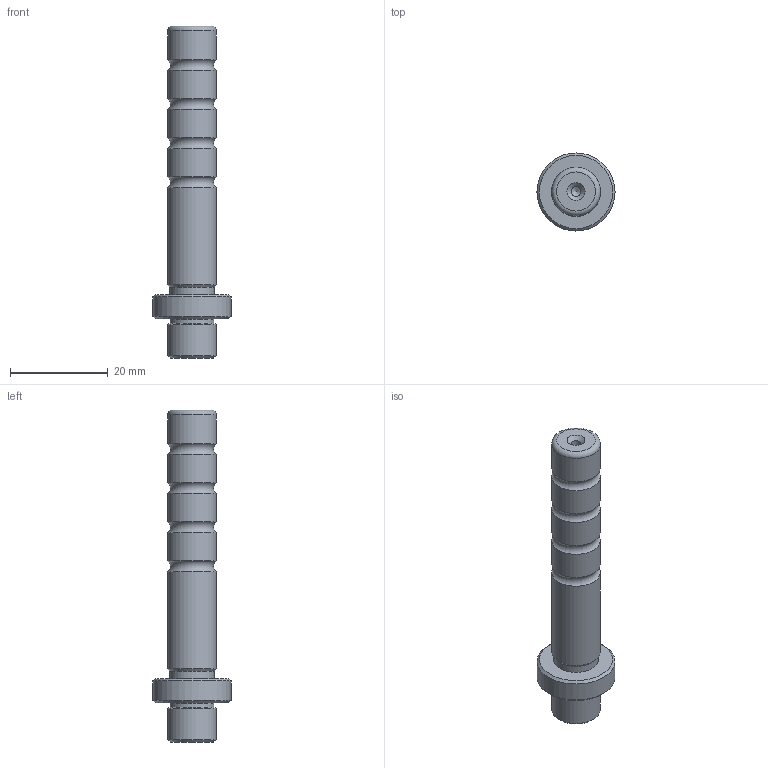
import cadquery as cq
import math

total_length = 68.0
flange_bottom = 8.0
flange_top = 13.0

pin_radius = 5.0
flange_radius = 8.0
upper_neck_radius = 4.6
lower_neck_radius = 4.5

shank_top = 6.85
shank_chamfer = 0.5
lower_neck_chamfer = 0.1
shank_shoulder_angle = 25.0

flange_chamfer = 0.5
upper_neck_top = 15.0
upper_neck_taper_length = 0.5

tip_fillet = 1.0

groove_count = 4
groove_pitch = 8.0
first_groove_from_tip = 8.0
groove_depth = 0.6
groove_half_width = 1.1

countersink_radius = 1.85
countersink_angle = 90.0
pilot_radius = 1.0
pilot_depth = 3.0
drill_point_angle = 118.0


def cone_height(large_radius, small_radius, included_angle):
    """Axial length of a cone between two radii."""
    return (large_radius - small_radius) / math.tan(math.radians(included_angle / 2))


def make_shank_and_flange_profile(sketch):
    """Lower outline, from the bottom centre up to the guide diameter."""
    shoulder_rise = (pin_radius - lower_neck_radius) * math.tan(math.radians(shank_shoulder_angle))
    return (
        sketch.lineTo(pin_radius - shank_chamfer, 0)
        .lineTo(pin_radius, shank_chamfer)
        .lineTo(pin_radius, shank_top)
        .lineTo(lower_neck_radius, shank_top + shoulder_rise)
        .lineTo(lower_neck_radius, flange_bottom - lower_neck_chamfer)
        .lineTo(lower_neck_radius + lower_neck_chamfer, flange_bottom)
        .lineTo(flange_radius - flange_chamfer, flange_bottom)
        .lineTo(flange_radius, flange_bottom + flange_chamfer)
        .lineTo(flange_radius, flange_top - flange_chamfer)
        .lineTo(flange_radius - flange_chamfer, flange_top)
        .lineTo(upper_neck_radius, flange_top)
        .lineTo(upper_neck_radius, upper_neck_top - upper_neck_taper_length)
        .lineTo(pin_radius, upper_neck_top)
    )


def add_groove(sketch, centre_z):
    """One oil groove: a circular arc from edge to edge through the groove bottom."""
    groove_bottom = (pin_radius - groove_depth, centre_z)
    groove_upper_edge = (pin_radius, centre_z + groove_half_width)
    return (
        sketch.lineTo(pin_radius, centre_z - groove_half_width)
        .threePointArc(groove_bottom, groove_upper_edge)
    )


def make_pin():
    """Solid of revolution: shank, flange, guide with oil grooves, rounded tip."""
    top_groove_z = total_length - first_groove_from_tip
    sketch = make_shank_and_flange_profile(cq.Workplane("XZ").moveTo(0, 0))
    for index in reversed(range(groove_count)):
        sketch = add_groove(sketch, top_groove_z - index * groove_pitch)
    sketch = (
        sketch.lineTo(pin_radius, total_length - tip_fillet)
        .radiusArc((pin_radius - tip_fillet, total_length), -tip_fillet)
        .lineTo(0, total_length)
        .close()
    )
    return sketch.revolve(360, (0, 0, 0), (0, 1, 0))


def make_centre_hole():
    """Countersunk pilot hole with a conical drill point."""
    countersink_depth = cone_height(countersink_radius, pilot_radius, countersink_angle)
    point_depth = pilot_depth + cone_height(pilot_radius, 0, drill_point_angle)
    return (
        cq.Workplane("XZ")
        .moveTo(0, total_length)
        .lineTo(countersink_radius, total_length)
        .lineTo(pilot_radius, total_length - countersink_depth)
        .lineTo(pilot_radius, total_length - pilot_depth)
        .lineTo(0, total_length - point_depth)
        .close()
        .revolve(360, (0, 0, 0), (0, 1, 0))
    )


result = make_pin().cut(make_centre_hole())